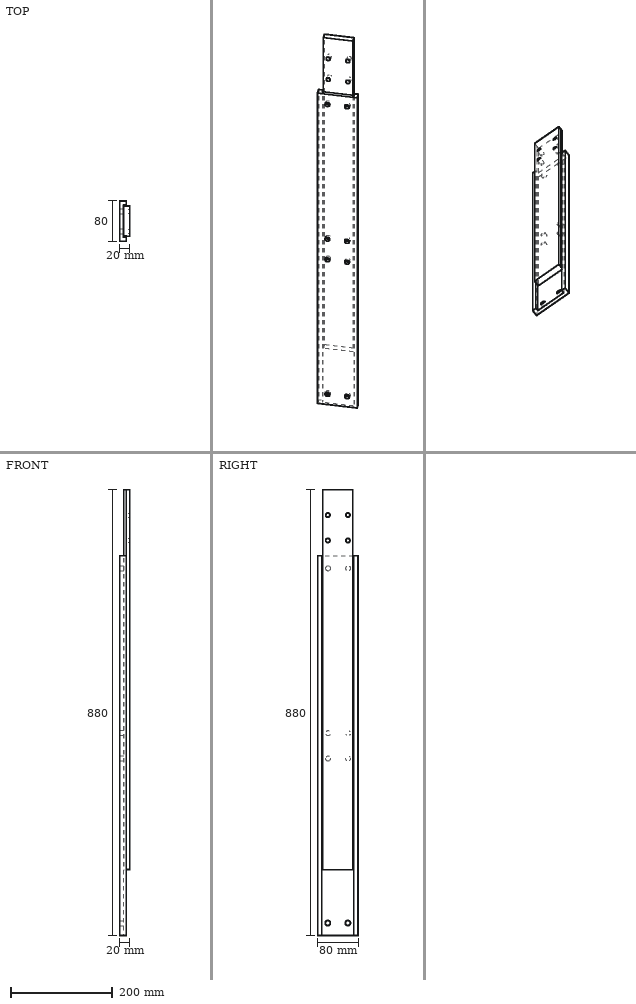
import cadquery as cq

TOTAL_LENGTH = 880.0
TOTAL_THICKNESS = 20.0
HOUSING_WIDTH = 80.0

MEMBER_LENGTH = 750.0
SLIDER_OFFSET = TOTAL_LENGTH - MEMBER_LENGTH

HOUSING_THICKNESS = 13.0
CHANNEL_FLOOR = 7.0
SIDE_CLEARANCE = 2.0

TONGUE_FACE = 8.0
SLIDER_WIDTH = 60.0
TONGUE_STEP = 0.3
TONGUE_WIDTH = SLIDER_WIDTH - 2 * TONGUE_STEP
CHANNEL_WIDTH = SLIDER_WIDTH + 2 * SIDE_CLEARANCE

HOLE_SPACING_Y = 40.0
HOUSING_HOLE_DIAMETER = 10.0
SLIDER_HOLE_DIAMETER = 8.0
HOUSING_END_MARGIN = 25.0
ROW_PITCH = 50.0
SLIDER_END_MARGIN = 50.0


def plate(x_start, x_end, width, z_start):
    """Full-length member plate centred on Y = 0."""
    return (
        cq.Workplane("XY")
        .box(x_end - x_start, width, MEMBER_LENGTH, centered=(False, True, False))
        .translate((x_start, 0, z_start))
    )


def drill_rows(body, row_heights, diameter):
    """Drill a pair of holes through X at each row height."""
    points = [(side * HOLE_SPACING_Y / 2, z) for z in row_heights for side in (-1, 1)]
    drills = cq.Workplane("YZ").pushPoints(points).circle(diameter / 2).extrude(TOTAL_THICKNESS)
    return body.cut(drills)


def make_housing():
    blank = plate(0, HOUSING_THICKNESS, HOUSING_WIDTH, 0)
    channel = plate(CHANNEL_FLOOR, HOUSING_THICKNESS, CHANNEL_WIDTH, 0)
    middle = MEMBER_LENGTH / 2
    rows = [
        HOUSING_END_MARGIN,
        middle - ROW_PITCH / 2,
        middle + ROW_PITCH / 2,
        MEMBER_LENGTH - HOUSING_END_MARGIN,
    ]
    return drill_rows(blank.cut(channel), rows, HOUSING_HOLE_DIAMETER)


def make_slider():
    tongue = plate(TONGUE_FACE, HOUSING_THICKNESS, TONGUE_WIDTH, SLIDER_OFFSET)
    outer_plate = plate(HOUSING_THICKNESS, TOTAL_THICKNESS, SLIDER_WIDTH, SLIDER_OFFSET)
    upper_row = TOTAL_LENGTH - SLIDER_END_MARGIN
    rows = [upper_row - ROW_PITCH, upper_row]
    return drill_rows(tongue.union(outer_plate), rows, SLIDER_HOLE_DIAMETER)


housing = make_housing()
slider = make_slider()
result = cq.Compound.makeCompound([housing.val(), slider.val()])